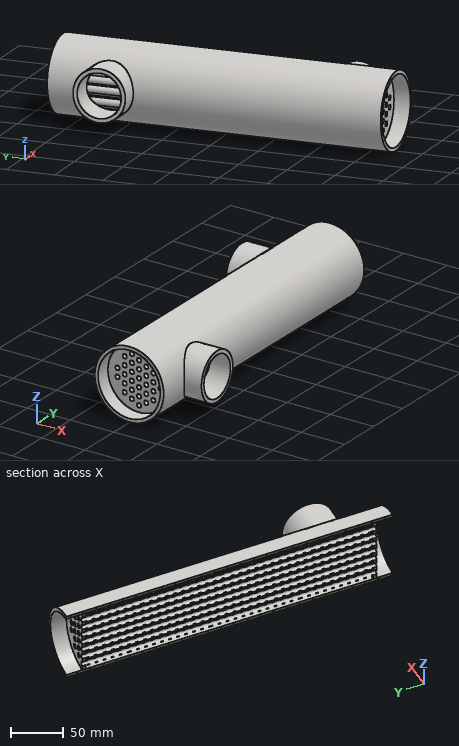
import cadquery as cq

shell_length = 346.0
shell_outer_dia = 80.0
shell_inner_dia = 72.0

nozzle_outer_dia = 54.3
nozzle_inner_dia = 45.5
nozzle_span = 120.0
nozzle_end_distance = 62.3
nozzle_reach = nozzle_span / 2
nozzle_y = shell_length / 2 - nozzle_end_distance

tube_outer_dia = 7.5
tube_inner_dia = 5.0
plate_recess = 17.0
plate_thickness = 3.8
bundle_length = shell_length - 2 * plate_recess

tubes_per_column = {0: 7, 1: 6, 2: 5, 3: 2}
middle_column_height = 57.0
tube_pitch = middle_column_height / (tubes_per_column[0] - 1)
column_spacing = 8.3


def cylinder_y(diameter, length, center_y=0.0):
    """Cylinder along Y, centred at center_y."""
    start = center_y + length / 2
    return cq.Workplane("XZ", origin=(0, start, 0)).circle(diameter / 2).extrude(length)


def cylinder_x(diameter, side):
    """Cylinder from the shell axis out to the nozzle face on one side (-1 or +1)."""
    origin = (0, -side * nozzle_y, 0)
    return cq.Workplane("YZ", origin=origin).circle(diameter / 2).extrude(side * nozzle_reach)


def tube_positions():
    """(X, Z) centres of all tubes."""
    points = []
    last_column = max(tubes_per_column)
    for column in range(-last_column, last_column + 1):
        count = tubes_per_column[abs(column)]
        for row in range(count):
            z = (row - (count - 1) / 2) * tube_pitch
            points.append((column * column_spacing, z))
    return points


def rods_y(diameter):
    """One rod per tube position, as long as the bundle."""
    plane = cq.Workplane("XZ", origin=(0, bundle_length / 2, 0))
    return plane.pushPoints(tube_positions()).circle(diameter / 2).extrude(bundle_length)


def make_shell():
    """Pipe with two open side nozzles."""
    body = cylinder_y(shell_outer_dia, shell_length)
    for side in (-1, 1):
        body = body.union(cylinder_x(nozzle_outer_dia, side))
    body = body.cut(cylinder_y(shell_inner_dia, shell_length))
    for side in (-1, 1):
        body = body.cut(cylinder_x(nozzle_inner_dia, side))
    return body


def make_tube_bundle():
    """Two end plates and the hollow tubes that open through them."""
    body = rods_y(tube_outer_dia)
    for end in (-1, 1):
        plate_y = end * (bundle_length - plate_thickness) / 2
        body = body.union(cylinder_y(shell_inner_dia, plate_thickness, plate_y))
    return body.cut(rods_y(tube_inner_dia))


shell = make_shell()
tube_bundle = make_tube_bundle()

result = cq.Compound.makeCompound([shell.val(), tube_bundle.val()])